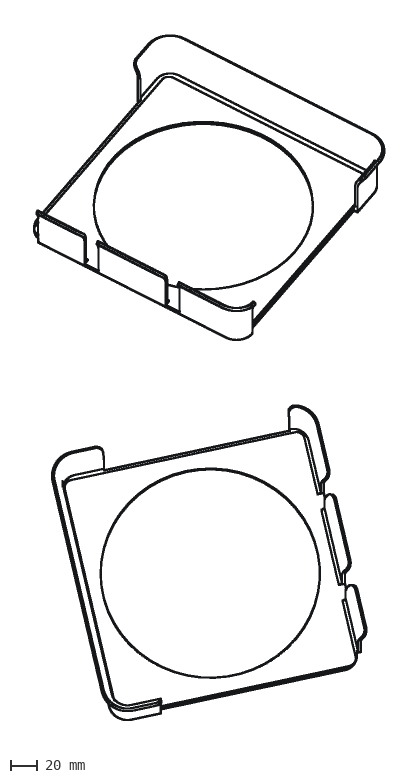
import cadquery as cq
import math

LENGTH_X = 209.5
LENGTH_Y = 205.5
HEIGHT = 42.0

WALL = 2.3
CORNER_RADIUS = 14.5
LIP_OVERHANG = 5.5
FLARE_ANGLE = math.radians(45)

FLOOR = 2.5
BEVEL = 2.5
BEVEL_CORNER_RADIUS = 6.0
HOLE_DIAMETER = 165.0

SLOT_WIDTH = 12.5
SLOT_OFFSET = 36.7
BACK_TAB_END = 60.3
TAB_ROUND = 5.7
EDGE_INSET = 0.8
EDGE_CORNER_RADIUS = 12.0

wall_x = LENGTH_X / 2 - LIP_OVERHANG
wall_y = LENGTH_Y / 2 - LIP_OVERHANG
corner_x = wall_x - CORNER_RADIUS
corner_y = wall_y - CORNER_RADIUS

flare_radius = LIP_OVERHANG / (1 - math.cos(FLARE_ANGLE))
flare_start = HEIGHT - (flare_radius + WALL) * math.sin(FLARE_ANGLE)

REACH = LENGTH_X


def flare_point(radius, angle):
    """Distance outside the upright wall, and height, of a point on a flare arc."""
    return flare_radius - radius * math.cos(angle), flare_start + radius * math.sin(angle)


def inset_block(inset, radius, height):
    """Rounded block whose sides lie inside the outer wall face by the inset."""
    outline = cq.Workplane("XY").rect(2 * (wall_x - inset), 2 * (wall_y - inset))
    return outline.extrude(height).edges("|Z").fillet(radius)


def box_between(x_range, y_range, z_range):
    low, high = zip(x_range, y_range, z_range)
    size = [top - bottom for bottom, top in zip(low, high)]
    return cq.Workplane("XY").box(*size, centered=False).translate(low)


def flared_wall():
    """Wall and lip as one profile swept around the rounded rectangle, from the middle of the back."""

    def lip_point(radius, angle):
        outward, level = flare_point(radius, angle)
        return wall_y + outward, level

    inner_radius = flare_radius + WALL
    profile = (
        cq.Workplane("YZ")
        .moveTo(wall_y, 0)
        .lineTo(wall_y, flare_start)
        .threePointArc(lip_point(flare_radius, FLARE_ANGLE / 2), lip_point(flare_radius, FLARE_ANGLE))
        .lineTo(*lip_point(inner_radius, FLARE_ANGLE))
        .threePointArc(lip_point(inner_radius, FLARE_ANGLE / 2), (wall_y - WALL, flare_start))
        .lineTo(wall_y - WALL, 0)
        .close()
    )
    mid_x = corner_x + CORNER_RADIUS * math.sqrt(0.5)
    mid_y = corner_y + CORNER_RADIUS * math.sqrt(0.5)
    path = (
        cq.Workplane("XY")
        .moveTo(0, wall_y)
        .lineTo(-corner_x, wall_y)
        .threePointArc((-mid_x, mid_y), (-wall_x, corner_y))
        .lineTo(-wall_x, -corner_y)
        .threePointArc((-mid_x, -mid_y), (-corner_x, -wall_y))
        .lineTo(corner_x, -wall_y)
        .threePointArc((mid_x, -mid_y), (wall_x, -corner_y))
        .lineTo(wall_x, corner_y)
        .threePointArc((mid_x, mid_y), (corner_x, wall_y))
        .close()
    )
    return profile.sweep(path)


def bevelled_floor():
    """Floor plate with a bevelled rim that rises to the inner wall face."""
    inner_radius = CORNER_RADIUS - WALL
    slab = inset_block(WALL, inner_radius, FLOOR + BEVEL)
    flat = cq.Sketch().rect(2 * (wall_x - WALL - BEVEL), 2 * (wall_y - WALL - BEVEL))
    rim = cq.Sketch().rect(2 * (wall_x - WALL), 2 * (wall_y - WALL))
    recess = (
        cq.Workplane("XY", origin=(0, 0, FLOOR))
        .placeSketch(
            flat.vertices().fillet(BEVEL_CORNER_RADIUS),
            rim.vertices().fillet(inner_radius).moved(cq.Location(cq.Vector(0, 0, BEVEL))),
        )
        .loft(ruled=True)
    )
    hole = cq.Workplane("XY").circle(HOLE_DIAMETER / 2).extrude(FLOOR)
    return slab.cut(recess).cut(hole)


def side_openings():
    """Gaps in both side walls, leaving the floor; the left gap also takes away the front corner."""
    kept_floor = inset_block(WALL + EDGE_INSET, EDGE_CORNER_RADIUS, HEIGHT)
    gap = (-corner_y, BACK_TAB_END)
    full_height = (0, HEIGHT)
    cutters = [
        box_between((0, REACH), gap, full_height),
        box_between((-REACH, 0), gap, full_height),
        box_between((-REACH, -corner_x), (-REACH, -corner_y), full_height),
    ]
    return [cutter.cut(kept_floor) for cutter in cutters]


def front_slots():
    cutters = []
    for centre in (-SLOT_OFFSET, SLOT_OFFSET):
        width = (centre - SLOT_WIDTH / 2, centre + SLOT_WIDTH / 2)
        cutters.append(box_between(width, (-REACH, 0), (FLOOR, HEIGHT)))
    return cutters


def lip_corners():
    """Middle of the short lip edge at each end of the wall sections."""
    outward, level = flare_point(flare_radius + WALL / 2, FLARE_ANGLE)
    lip_x = wall_x + outward
    lip_y = wall_y + outward
    front_ends = [-corner_x]
    for centre in (-SLOT_OFFSET, SLOT_OFFSET):
        front_ends += [centre - SLOT_WIDTH / 2, centre + SLOT_WIDTH / 2]
    side_ends = [(-lip_x, BACK_TAB_END), (lip_x, BACK_TAB_END), (lip_x, -corner_y)]
    return [(x, -lip_y, level) for x in front_ends] + [(x, y, level) for x, y in side_ends]


result = bevelled_floor().union(flared_wall())

for cutter in side_openings() + front_slots():
    result = result.cut(cutter)

for corner in lip_corners():
    result = result.edges(cq.selectors.NearestToPointSelector(corner)).fillet(TAB_ROUND)